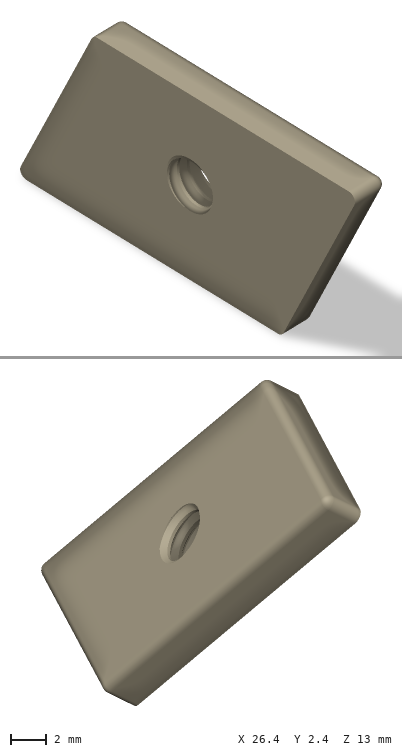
import cadquery as cq
import math

length = 26.43
height = 13.0
thickness = 2.4
corner_radius = 0.5
back_fillet = 0.5
lean_angle = 25.0

minor_radius = 1.65
pitch = 0.8
thread_depth = 0.42
groove_mouth = 0.75 * pitch
groove_root = 0.125 * pitch
thread_overrun = 2 * pitch
bore_overrun = 2.65
thread_start_angle = -42.0
groove_overlap = 0.1


def make_plate():
    """Parallelogram plate with its back edges rounded over."""
    half_width = length / 2 - corner_radius
    half_height = height / 2 - corner_radius
    skew = 2 * half_height * math.tan(math.radians(lean_angle))
    corner_centres = [
        (-half_width, -half_height),
        (half_width - skew, -half_height),
        (half_width, half_height),
        (-half_width + skew, half_height),
    ]
    plate = (
        cq.Workplane("XZ")
        .polyline(corner_centres)
        .close()
        .offset2D(corner_radius)
        .extrude(-thickness)
    )
    return plate.faces(">Y").edges().fillet(back_fillet)


def make_bore():
    """Plain bore at the minor diameter of the thread."""
    bore = cq.Workplane("XZ", origin=(0, -bore_overrun, 0)).circle(minor_radius)
    return bore.extrude(-(thickness + 2 * bore_overrun))


def make_thread_groove():
    """Right-handed helical groove, built along Z and then turned onto Y."""
    helix = cq.Wire.makeHelix(pitch, thickness + 2 * thread_overrun, minor_radius)
    flank_slope = (groove_mouth - groove_root) / 2 / thread_depth
    inner_half = groove_mouth / 2 + groove_overlap * flank_slope
    root_half = groove_root / 2
    inner_radius = minor_radius - groove_overlap
    root_radius = minor_radius + thread_depth
    groove = (
        cq.Workplane("XZ")
        .polyline([
            (inner_radius, -inner_half),
            (root_radius, -root_half),
            (root_radius, root_half),
            (inner_radius, inner_half),
        ])
        .close()
        .sweep(cq.Workplane(obj=helix), isFrenet=True)
    )
    return (
        groove.translate((0, 0, -thread_overrun))
        .rotate((0, 0, 0), (0, 0, 1), thread_start_angle)
        .rotate((0, 0, 0), (1, 0, 0), -90)
    )


result = make_plate().cut(make_thread_groove()).cut(make_bore())